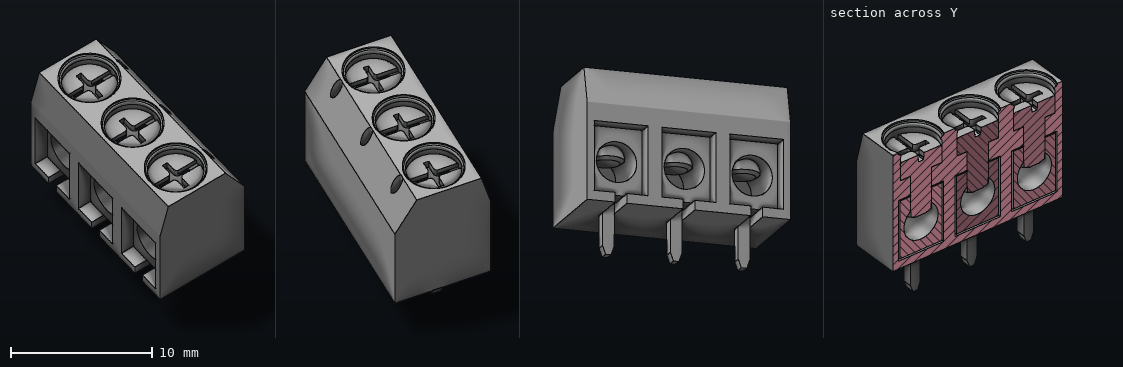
import cadquery as cq
import math


pole_count = 3
length = 15.24
pitch = length / pole_count
pole_xs = [(i - (pole_count - 1) / 2) * pitch for i in range(pole_count)]

depth = 7.5
height = 10.0
slope_height = 2.79
front_slope_depth = 0.73
back_slope_depth = 1.7

cage_front_y = 1.0
cage_width = 3.81
cage_bottom_z = 0.82
cage_height = 5.0
side_gap = 0.1
top_gap = 0.06
wire_bore_radius = 1.51
wire_bore_z = 3.29
pocket_bottom_z = cage_bottom_z - side_gap
pocket_top_z = cage_bottom_z + cage_height + top_gap

pin_width = 0.88
pin_thickness = 0.81
pin_front_y = 2.76
pin_length = 3.05
pin_tip_width = 0.43
pin_tip_length = 0.62

screw_y = 3.29
head_radius = 2.05
head_thickness = 1.52
head_recess = 0.91
head_edge_fillet = 0.17
shank_radius = 1.31
shank_end_z = 3.81
shank_tip_radius = 1.0
shank_tip_height = 0.21
slot_width = 0.5
slot_depth = 0.41
cross_width = 0.41
cross_length = 2.55
cross_depth = 0.6
cross_corner_radius = 0.35
head_top_z = height - head_recess
head_bottom_z = head_top_z - head_thickness

rim_radius = 2.23
rim_wall_depth = 0.12
bead_top_radius = 2.13
bead_top_depth = 0.2
bead_inner_radius = 2.0
bead_inner_depth = 0.37
bead_bottom_depth = 0.52

probe_radius = 0.41
probe_y = 6.19
probe_bottom_z = height - slope_height

cage_depth = 2 * (screw_y - cage_front_y)
cage_back_y = cage_front_y + cage_depth


def block(width, y_range, z_range):
    """Box centred on x = 0 between the given Y and Z limits."""
    y_low, y_high = y_range
    z_low, z_high = z_range
    return (
        cq.Workplane("XY")
        .box(width, y_high - y_low, z_high - z_low, centered=(True, False, False))
        .translate((0, y_low, z_low))
    )


def revolve_on_screw_axis(profile):
    """Turn an (r, z) profile about the vertical screw axis."""
    return profile.close().revolve(360, (0, 0, 0), (0, 1, 0)).translate((0, screw_y, 0))


def make_screw_hole():
    """Screw passage: beaded rim, head bore and shank bore."""
    return revolve_on_screw_axis(
        cq.Workplane("XZ")
        .moveTo(0, height)
        .lineTo(rim_radius, height)
        .lineTo(rim_radius, height - rim_wall_depth)
        .lineTo(bead_top_radius, height - bead_top_depth)
        .threePointArc(
            (bead_inner_radius, height - bead_inner_depth),
            (head_radius, height - bead_bottom_depth),
        )
        .lineTo(head_radius, head_bottom_z)
        .lineTo(shank_radius, head_bottom_z)
        .lineTo(shank_radius, shank_end_z)
        .lineTo(0, shank_end_z)
    )


def make_pole_cavity():
    """Everything removed from the housing for one pole."""
    pocket = block(cage_width + 2 * side_gap, (0, cage_back_y), (pocket_bottom_z, pocket_top_z))
    pin_slot = block(pin_width, (0, pin_front_y + pin_thickness), (0, pocket_bottom_z))
    probe_hole = (
        cq.Workplane("XY")
        .circle(probe_radius)
        .extrude(height - probe_bottom_z)
        .translate((0, probe_y, probe_bottom_z))
    )
    return pocket.union(pin_slot).union(make_screw_hole()).union(probe_hole)


def make_housing():
    """Long prism with sloped front and back shoulders, hollowed at each pole."""
    shoulder_z = height - slope_height
    body = (
        cq.Workplane("YZ")
        .polyline([
            (0, 0),
            (depth, 0),
            (depth, shoulder_z),
            (depth - back_slope_depth, height),
            (front_slope_depth, height),
            (0, shoulder_z),
        ])
        .close()
        .extrude(length / 2, both=True)
    )
    cavity = make_pole_cavity()
    for x in pole_xs:
        body = body.cut(cavity.translate((x, 0, 0)))
    return body


def make_pin():
    """Flat pin hanging from the cage, with a tapered tip."""
    half_width = pin_width / 2
    half_tip = pin_tip_width / 2
    return (
        cq.Workplane("XZ")
        .polyline([
            (-half_width, cage_bottom_z),
            (half_width, cage_bottom_z),
            (half_width, pin_tip_length - pin_length),
            (half_tip, -pin_length),
            (-half_tip, -pin_length),
            (-half_width, pin_tip_length - pin_length),
        ])
        .close()
        .extrude(-pin_thickness)
        .translate((0, pin_front_y, 0))
    )


def make_terminal():
    """Wire clamp cage with its solder pin."""
    cage_top_z = cage_bottom_z + cage_height
    cage = block(cage_width, (cage_front_y, cage_back_y), (cage_bottom_z, cage_top_z))
    wire_bore = (
        cq.Workplane("XZ")
        .center(0, wire_bore_z)
        .circle(wire_bore_radius)
        .extrude(-cage_back_y)
    )
    screw_bore = (
        cq.Workplane("XY")
        .circle(shank_radius)
        .extrude(cage_top_z - wire_bore_z)
        .translate((0, screw_y, wire_bore_z))
    )
    return cage.union(make_pin()).cut(wire_bore).cut(screw_bore)


def make_drive_recess():
    """Straight slot across the head with a deeper cross at its centre."""
    slot = (
        cq.Workplane("XY")
        .rect(slot_width, 2 * head_radius + slot_width)
        .extrude(-slot_depth)
    )
    cross = (
        cq.Workplane("XY")
        .rect(cross_width, cross_length)
        .extrude(-cross_depth)
        .union(cq.Workplane("XY").rect(cross_length, cross_width).extrude(-cross_depth))
    )
    inner_corners = cq.selectors.BoxSelector(
        (-cross_width, -cross_width, -cross_depth),
        (cross_width, cross_width, 0),
    )
    cross = cross.edges("|Z").edges(inner_corners).fillet(cross_corner_radius)
    return slot.union(cross).translate((0, screw_y, head_top_z))


def make_screw():
    """Round-edged head and a shank with a bevelled end."""
    edge_mid = head_edge_fillet * (1 - math.sqrt(0.5))
    body = revolve_on_screw_axis(
        cq.Workplane("XZ")
        .moveTo(0, head_top_z)
        .lineTo(head_radius - head_edge_fillet, head_top_z)
        .threePointArc(
            (head_radius - edge_mid, head_top_z - edge_mid),
            (head_radius, head_top_z - head_edge_fillet),
        )
        .lineTo(head_radius, head_bottom_z)
        .lineTo(shank_radius, head_bottom_z)
        .lineTo(shank_radius, shank_end_z + shank_tip_height)
        .lineTo(shank_tip_radius, shank_end_z)
        .lineTo(0, shank_end_z)
    )
    return body.cut(make_drive_recess())


housing = make_housing().solids().val()
terminal = make_terminal().solids().val()
screw = make_screw().solids().val()

terminals = [terminal.translate(cq.Vector(x, 0, 0)) for x in pole_xs]
screws = [screw.translate(cq.Vector(x, 0, 0)) for x in pole_xs]

result = cq.Compound.makeCompound([housing, *terminals, *screws])